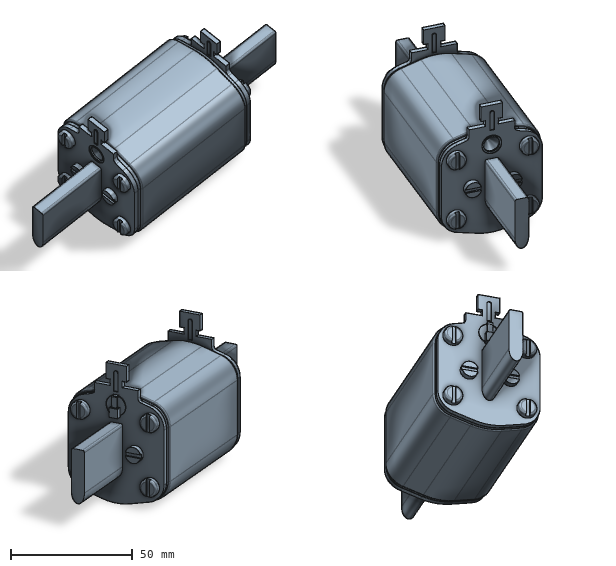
import cadquery as cq
import math

BODY_WIDTH = 46.0
BODY_HEIGHT = 50.0
BODY_LENGTH = 60.0
BODY_EDGE_FILLET = 0.5
CORNER_RADIUS = 10.0
CROWN_RADIUS = 26.0
ROOF_SLOPE = math.radians(15.0)

GASKET_THICKNESS = 1.5
PLATE_THICKNESS = 2.15
PLATE_INSET = 0.75
GASKET_INSET = 0.85
PLATE_SHIFT_Z = -0.25
PLATE_INNER_Y = BODY_LENGTH / 2 + GASKET_THICKNESS
PLATE_FACE_Y = PLATE_INNER_Y + PLATE_THICKNESS

LUG_TOP_Z = 36.79
LUG_HEAD_WIDTH = 9.5
LUG_HEAD_BOTTOM_Z = 29.75
LUG_NECK_WIDTH = 5.6
LUG_SHOULDER_WIDTH = 20.2
LUG_SHOULDER_TOP_Z = 27.0
LUG_ROOT_Z = 20.0
LUG_ROOT_FILLET = 2.0
LUG_ROOT_MARGIN = 0.1
RIB_WIDTH = 1.9
RIB_BOTTOM_Z = 24.9
RIB_TOP_Z = 34.0
RIB_HEIGHT = 0.4

OVERALL_LENGTH = 135.0
BLADE_THICKNESS = 6.1
BLADE_TOP_Z = 11.0
BLADE_SHOULDER_Z = -7.75
BLADE_BOTTOM_Z = -13.0
BLADE_TOP_FILLET = 0.9

SLOT_WIDTH = 1.7
CORNER_SCREW_X = 16.1
CORNER_SCREW_Z = 14.25
CORNER_HEAD_RADIUS = 4.0
CORNER_HEAD_HEIGHT = 2.85
CORNER_HEAD_FILLET = 1.0
CORNER_SLOT_DEPTH = 1.2
MIDDLE_SCREW_X = 9.0
MIDDLE_SCREW_Z = -0.95
MIDDLE_HEAD_RADIUS = 3.55
MIDDLE_HEAD_HEIGHT = 2.4
MIDDLE_SLOT_DEPTH = 0.85

INDICATOR_Z = 17.7
RECESS_RADIUS = 3.5
RECESS_DEPTH = 1.0
RECESS_CONE_DEPTH = 5.0
RECESS_RIM_RADIUS = 4.3
RECESS_RIM_DEPTH = 0.3
CLIP_BASE_RADIUS = 4.5
CLIP_BASE_HEIGHT = 0.4
CLIP_BASE_Z = 18.7
CLIP_WIDTH = 3.9
CLIP_STRIP_WIDTH = 2.4
CLIP_TOP_Z = 23.4
CLIP_BOTTOM_Z = 14.0
CLIP_REACH = 2.6
CLIP_STRIP_REACH = 1.65
CLIP_GAP = 1.15
CLIP_LEG = 0.7
CLIP_STEP_Z = 18.2


def extrude_along_y(sketch_points, y_start, y_end):
    """Straight-sided prism of an X-Z polygon."""
    return (cq.Workplane("XZ", origin=(0, y_start, 0)).polyline(sketch_points).close()
            .extrude(y_start - y_end))


def box_between(x_range, y_range, z_range):
    sizes = [high - low for low, high in (x_range, y_range, z_range)]
    lows = (x_range[0], y_range[0], z_range[0])
    return cq.Workplane("XY").box(*sizes, centered=False).translate(lows)


def cylinder_along_y(radius, y_start, y_end, x, z):
    return (cq.Workplane("XZ", origin=(x, y_start, z)).circle(radius)
            .extrude(y_start - y_end))


def body_prism(inset, y_start, y_end):
    """Prism of the body outline, moved inwards by an even inset."""
    half_width = BODY_WIDTH / 2 - inset
    half_height = BODY_HEIGHT / 2 - inset
    corner_radius = CORNER_RADIUS - inset
    crown_radius = CROWN_RADIUS - inset

    corner_x = half_width - corner_radius
    crown_end_x = crown_radius * math.sin(ROOF_SLOPE)
    crown_end_z = half_height - crown_radius * (1 - math.cos(ROOF_SLOPE))
    slope_end_x = corner_x + corner_radius * math.sin(ROOF_SLOPE)
    slope_end_z = crown_end_z - (slope_end_x - crown_end_x) * math.tan(ROOF_SLOPE)
    side_end_z = slope_end_z - corner_radius * math.cos(ROOF_SLOPE)

    mid_angle = (math.pi / 2 - ROOF_SLOPE) / 2
    corner_mid_x = corner_x + corner_radius * math.cos(mid_angle)
    corner_mid_z = side_end_z + corner_radius * math.sin(mid_angle)

    return (
        cq.Workplane("XZ", origin=(0, y_start, 0))
        .moveTo(half_width, -side_end_z)
        .lineTo(half_width, side_end_z)
        .threePointArc((corner_mid_x, corner_mid_z), (slope_end_x, slope_end_z))
        .lineTo(crown_end_x, crown_end_z)
        .threePointArc((0, half_height), (-crown_end_x, crown_end_z))
        .lineTo(-slope_end_x, slope_end_z)
        .threePointArc((-corner_mid_x, corner_mid_z), (-half_width, side_end_z))
        .lineTo(-half_width, -side_end_z)
        .threePointArc((-corner_mid_x, -corner_mid_z), (-slope_end_x, -slope_end_z))
        .lineTo(-crown_end_x, -crown_end_z)
        .threePointArc((0, -half_height), (crown_end_x, -crown_end_z))
        .lineTo(slope_end_x, -slope_end_z)
        .threePointArc((corner_mid_x, -corner_mid_z), (half_width, -side_end_z))
        .close()
        .extrude(y_start - y_end)
    )


def make_body():
    half_length = BODY_LENGTH / 2
    body = body_prism(0, -half_length, half_length)
    return body.faces("<Y or >Y").edges().fillet(BODY_EDGE_FILLET)


def rib_prism(y_start, y_end):
    """Upright bar with a round top, the shape of the rib pressed into the lug."""
    radius = RIB_WIDTH / 2
    return (
        cq.Workplane("XZ", origin=(0, y_start, 0))
        .moveTo(-radius, RIB_BOTTOM_Z)
        .lineTo(radius, RIB_BOTTOM_Z)
        .lineTo(radius, RIB_TOP_Z - radius)
        .threePointArc((0, RIB_TOP_Z), (-radius, RIB_TOP_Z - radius))
        .close()
        .extrude(y_start - y_end)
    )


def make_plate():
    """Gasket and end plate with its gripping lug, on the -Y end."""
    gasket = body_prism(GASKET_INSET, -PLATE_INNER_Y, 0)
    plate = body_prism(PLATE_INSET, -PLATE_FACE_Y, -PLATE_INNER_Y)
    end = (0, 0, PLATE_SHIFT_Z)
    half_head = LUG_HEAD_WIDTH / 2
    half_neck = LUG_NECK_WIDTH / 2
    half_shoulder = LUG_SHOULDER_WIDTH / 2
    right_side = [
        (half_shoulder, LUG_ROOT_Z),
        (half_shoulder, LUG_SHOULDER_TOP_Z),
        (half_neck, LUG_SHOULDER_TOP_Z),
        (half_neck, LUG_HEAD_BOTTOM_Z),
        (half_head, LUG_HEAD_BOTTOM_Z),
        (half_head, LUG_TOP_Z),
    ]
    left_side = [(-x, z) for x, z in reversed(right_side)]
    lug = extrude_along_y(right_side + left_side, -PLATE_FACE_Y, -PLATE_INNER_Y)
    plate = plate.translate(end).union(lug)
    root_zone = cq.selectors.BoxSelector(
        (-half_shoulder - LUG_ROOT_MARGIN, -PLATE_FACE_Y, LUG_ROOT_Z),
        (half_shoulder + LUG_ROOT_MARGIN, -PLATE_INNER_Y, LUG_SHOULDER_TOP_Z - LUG_ROOT_MARGIN),
    )
    plate = plate.edges("|Y").edges(root_zone).fillet(LUG_ROOT_FILLET)
    plate = plate.union(gasket.translate(end))
    rib = rib_prism(-PLATE_FACE_Y - RIB_HEIGHT, -PLATE_FACE_Y)
    groove = rib_prism(-PLATE_INNER_Y - RIB_HEIGHT, -PLATE_INNER_Y)
    return plate.union(rib).cut(groove)


def make_blade():
    """Contact blade on the -Y end, its lower edge half an ellipse."""
    half = BLADE_THICKNESS / 2
    drop = BLADE_SHOULDER_Z - BLADE_BOTTOM_Z
    return (
        cq.Workplane("XZ", origin=(0, -PLATE_INNER_Y, 0))
        .moveTo(-half, BLADE_TOP_Z)
        .lineTo(-half, BLADE_SHOULDER_Z)
        .ellipseArc(half, drop, 180, 360, startAtCurrent=True)
        .lineTo(half, BLADE_TOP_Z)
        .close()
        .extrude(OVERALL_LENGTH / 2 - PLATE_INNER_Y)
        .edges("|Y and >Z")
        .fillet(BLADE_TOP_FILLET)
    )


def make_corner_screw(x, z):
    """Rounded screw head with an upright slot."""
    top_y = -PLATE_FACE_Y - CORNER_HEAD_HEIGHT
    head = cylinder_along_y(CORNER_HEAD_RADIUS, top_y, -PLATE_INNER_Y, x, z)
    head = head.faces("<Y").edges().fillet(CORNER_HEAD_FILLET)
    slot = box_between(
        (x - SLOT_WIDTH / 2, x + SLOT_WIDTH / 2),
        (top_y, top_y + CORNER_SLOT_DEPTH),
        (z - CORNER_HEAD_RADIUS, z + CORNER_HEAD_RADIUS),
    )
    return head.cut(slot)


def make_middle_screw(x, z):
    """Flat screw head with a level slot."""
    top_y = -PLATE_FACE_Y - MIDDLE_HEAD_HEIGHT
    head = cylinder_along_y(MIDDLE_HEAD_RADIUS, top_y, -PLATE_INNER_Y, x, z)
    slot = box_between(
        (x - MIDDLE_HEAD_RADIUS, x + MIDDLE_HEAD_RADIUS),
        (top_y, top_y + MIDDLE_SLOT_DEPTH),
        (z - SLOT_WIDTH / 2, z + SLOT_WIDTH / 2),
    )
    return head.cut(slot)


def make_end():
    """Everything on the -Y end that the +Y end repeats as a mirror image."""
    end = make_plate().union(make_blade())
    for side in (-1, 1):
        end = end.union(make_middle_screw(side * MIDDLE_SCREW_X, MIDDLE_SCREW_Z))
        for level in (-1, 1):
            end = end.union(make_corner_screw(side * CORNER_SCREW_X, level * CORNER_SCREW_Z))
    return end


def make_indicator_recess():
    """Stepped round hole with a conical floor, cut into the -Y plate."""
    rim_y = -PLATE_FACE_Y + RECESS_RIM_DEPTH
    wall_y = -PLATE_FACE_Y + RECESS_DEPTH
    profile = [
        (0, -PLATE_FACE_Y),
        (RECESS_RIM_RADIUS, -PLATE_FACE_Y),
        (RECESS_RIM_RADIUS, rim_y),
        (RECESS_RADIUS, rim_y),
        (RECESS_RADIUS, wall_y),
        (0, wall_y + RECESS_CONE_DEPTH),
    ]
    recess = cq.Workplane("XY").polyline(profile).close().revolve(360, (0, 0, 0), (0, 1, 0))
    return recess.translate((0, 0, INDICATOR_Z))


def make_indicator_clip():
    """Round base with a strip standing off it, on the +Y plate."""
    base = cylinder_along_y(
        CLIP_BASE_RADIUS, PLATE_INNER_Y, PLATE_FACE_Y + CLIP_BASE_HEIGHT, 0, CLIP_BASE_Z
    )
    inner_y = PLATE_FACE_Y + CLIP_GAP
    strip_y = PLATE_FACE_Y + CLIP_STRIP_REACH
    strip_x = (-CLIP_STRIP_WIDTH / 2, CLIP_STRIP_WIDTH / 2)
    block_x = (-CLIP_WIDTH / 2, CLIP_WIDTH / 2)
    leg = box_between(strip_x, (PLATE_FACE_Y, strip_y), (CLIP_TOP_Z - CLIP_LEG, CLIP_TOP_Z))
    strip = box_between(strip_x, (inner_y, strip_y), (CLIP_STEP_Z, CLIP_TOP_Z))
    block = box_between(
        block_x, (PLATE_FACE_Y, PLATE_FACE_Y + CLIP_REACH), (CLIP_BOTTOM_Z, CLIP_STEP_Z)
    )
    return base.union(leg).union(strip).union(block)


front_end = make_end()
result = (
    make_body()
    .union(front_end)
    .union(front_end.mirror("XZ"))
    .cut(make_indicator_recess())
    .union(make_indicator_clip())
)